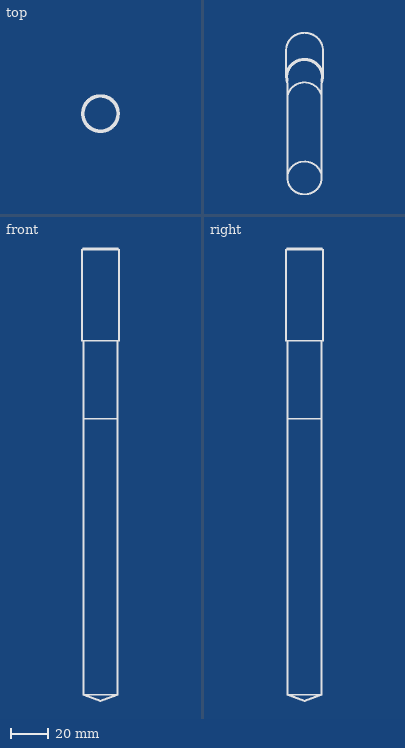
import cadquery as cq

total_length = 244.0
shank_diameter = 20.0
shank_length = 50.0
shank_chamfer = 1.0
cutting_diameter = 18.5
tip_height = 3.5
neck_length = 42.0

shank_radius = shank_diameter / 2
cutting_radius = cutting_diameter / 2
shank_bottom = total_length - shank_length
neck_bottom = shank_bottom - neck_length


def make_holder():
    """Shank with a chamfered top edge and the plain neck below it."""
    shank = (
        cq.Workplane("XY", origin=(0, 0, shank_bottom))
        .circle(shank_radius)
        .extrude(shank_length)
        .faces(">Z")
        .chamfer(shank_chamfer)
    )
    neck = cq.Workplane("XY", origin=(0, 0, neck_bottom)).circle(cutting_radius).extrude(neck_length)
    return shank.union(neck)


def make_cutting_section():
    """Cylinder with a conical point, butting against the neck."""
    half_profile = (
        cq.Workplane("XZ")
        .moveTo(0, 0)
        .lineTo(cutting_radius, tip_height)
        .lineTo(cutting_radius, neck_bottom)
        .lineTo(0, neck_bottom)
        .close()
    )
    return half_profile.revolve(360, (0, 0), (0, 1))


holder = make_holder()
cutting_section = make_cutting_section()

result = cq.Compound.makeCompound([holder.val(), cutting_section.val()])